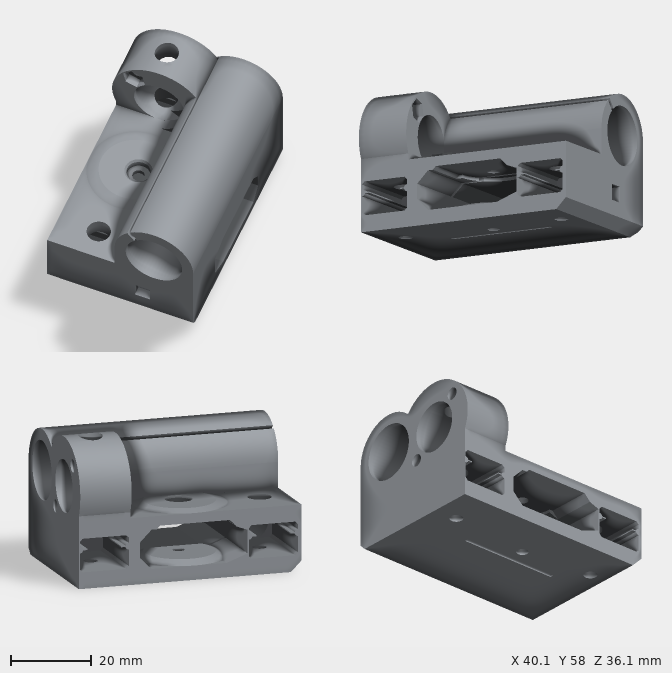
import cadquery as cq
import math

length = 58.0
block_width = 39.0
block_height = 17.0
front_chamfer = 2.75
side_chamfer = 1.5
overcut = 1.0

tube_radius = 10.5
tube_bore_diameter = 15.08
tube_left = block_width - 2 * tube_radius
tube_x = block_width - tube_radius
axis_z = 23.6
slit_angle = 130.0
slit_width = 1.0
slit_end_wall = 0.4

ring_radius = 12.52
ring_x = 11.44
ring_length = 13.4
ring_bore_diameter = 13.4
ring_front = length - ring_length
web_length = 2.5
web_front = ring_front - web_length
web_left = 13.25
web_height = 5.0

ring_screw_diameter = 3.3
ring_screw_offset = 9.42
ring_screw_angle = 135.0
nut_corner_diameter = 6.1
nut_turn = 43.0
nut_trap_depth = 2.4
nut_slot_front = 45.0
nut_slot_rear = 48.0
nut_slot_mouth = 5.6
nut_slot_mouth_width = 6.9
nut_slot_end = 11.6
nut_slot_half_taper = 12.0

pocket_length = 12.75
pocket_bottom = 4.2
pocket_height = 8.55
pocket_chamfer = 0.7
pocket_depth = 20.0
pocket_centers_y = (7.3, 51.35)
rib_radius = 0.85
rib_z = 9.93
fin_reach = 2.0
fin_thickness = 0.3
clamp_screw_x = 10.75
clamp_screw_diameter = 3.5
clamp_head_diameter = 6.0

rod_diameter = 10.0
rod_y = 6.93
rod_z = 8.5
rod_end = 30.0
peephole_size = 4.0
peephole_x = 25.4

window_front = 14.05
window_rear = web_front
window_bottom = 3.65
window_top = 13.65
window_front_slope_end = 19.5
window_front_slope_rise = 2.0
window_rear_chamfer = 3.05
gap_left = 17.0

idler_x = 12.0
idler_y = 27.75
cone_base_diameter = 24.0
cone_top_diameter = 18.0
top_cone_height = 0.63
floor_cone_height = 1.03
recess_diameter = 16.25
recess_top = 14.5
recess_flat_length = 18.2
recess_slope_drop = 1.8
pivot_x = 12.95
pivot_y = 27.7
pivot_diameter = 3.1
pivot_head_diameter = 6.0
pivot_head_depth = 2.0
pivot_chamfer = 0.5


def box(x0, x1, y0, y1, z0, z1):
    """Box between two opposite corners."""
    return cq.Workplane("XY").box(x1 - x0, y1 - y0, z1 - z0, centered=False).translate((x0, y0, z0))


def cylinder_y(x, z, diameter, y0, y1):
    """Cylinder parallel to Y."""
    solid = cq.Solid.makeCylinder(diameter / 2, y1 - y0, cq.Vector(x, y0, z), cq.Vector(0, 1, 0))
    return cq.Workplane(solid)


def cylinder_z(x, y, diameter, z0, z1):
    """Cylinder parallel to Z."""
    return cq.Workplane(cq.Solid.makeCylinder(diameter / 2, z1 - z0, cq.Vector(x, y, z0)))


def cylinder_x(y, z, diameter, x0, x1):
    """Cylinder parallel to X."""
    solid = cq.Solid.makeCylinder(diameter / 2, x1 - x0, cq.Vector(x0, y, z), cq.Vector(1, 0, 0))
    return cq.Workplane(solid)


def prism_x(points, x0, x1):
    """Prism along X from (y, z) points."""
    return cq.Workplane("YZ").workplane(offset=x0).polyline(points).close().extrude(x1 - x0)


def make_block():
    """Base block, chamfered along the bottom front and bottom right edges."""
    block = box(0, block_width, 0, length, 0, block_height)
    block = block.faces("<Z").edges("<Y").chamfer(front_chamfer)
    return block.faces("<Z").edges(">X").chamfer(side_chamfer)


def make_tube():
    """Full-length tube body, square below its axis."""
    tube = cylinder_y(tube_x, axis_z, 2 * tube_radius, 0, length)
    return tube.union(box(tube_left, block_width, 0, length, block_height, axis_z))


def make_ring_bore(front):
    """Ring bore from the given front plane out through the rear."""
    return cylinder_y(ring_x, axis_z, ring_bore_diameter, front, length + overcut)


def make_ring():
    """Ring with a skirt down to the block and a low web in front, beside the tube."""
    ring = cylinder_y(ring_x, axis_z, 2 * ring_radius, ring_front, length)
    skirt_top = axis_z - math.sqrt(ring_radius ** 2 - ring_x ** 2)
    skirt = box(0, tube_left, ring_front, length, block_height, skirt_top)
    web = box(web_left, tube_left, web_front, ring_front, block_height, block_height + web_height)
    web = web.cut(make_ring_bore(web_front))
    return ring.union(skirt).union(web)


def make_slit():
    """Radial cut in the tube wall that stops short of the rear end."""
    slit = box(0, tube_radius + overcut, -overcut, length - slit_end_wall, -slit_width / 2, slit_width / 2)
    slit = slit.rotate((0, 0, 0), (0, 1, 0), -slit_angle)
    return slit.translate((tube_x, 0, axis_z))


def make_nut_slot():
    """Slot that narrows outward from the ring bore, built along X and turned to the lower screw."""
    mouth_half = nut_slot_mouth_width / 2
    end_half = mouth_half - (nut_slot_end - nut_slot_mouth) * math.tan(math.radians(nut_slot_half_taper))
    slot = (
        cq.Workplane("XZ", origin=(0, nut_slot_front, 0))
        .polyline([
            (nut_slot_mouth, -mouth_half),
            (nut_slot_end, -end_half),
            (nut_slot_end, end_half),
            (nut_slot_mouth, mouth_half),
        ])
        .close()
        .extrude(nut_slot_front - nut_slot_rear)
    )
    slot = slot.rotate((0, 0, 0), (0, 1, 0), 180 - ring_screw_angle)
    return slot.translate((ring_x, 0, axis_z))


def make_ring_screws():
    """Upper screw with a hexagonal nut trap, lower screw with a nut slot open to the bore."""
    angle = math.radians(ring_screw_angle)
    dx = ring_screw_offset * math.cos(angle)
    dz = ring_screw_offset * math.sin(angle)
    upper = cylinder_y(ring_x + dx, axis_z + dz, ring_screw_diameter, ring_front - overcut, length + overcut)
    nut_trap = (
        cq.Workplane("XZ")
        .polygon(6, nut_corner_diameter)
        .extrude(-nut_trap_depth)
        .rotate((0, 0, 0), (0, 1, 0), -nut_turn)
        .translate((ring_x + dx, ring_front, axis_z + dz))
    )
    lower = cylinder_y(ring_x - dx, axis_z - dz, ring_screw_diameter, nut_slot_rear, length + overcut)
    return upper.union(nut_trap).union(lower).union(make_nut_slot())


def make_pocket(center_y):
    """Clamp pocket with a round rib and a thin fin on both side walls."""
    front = center_y - pocket_length / 2
    rear = center_y + pocket_length / 2
    pocket = box(0, pocket_depth, front, rear, pocket_bottom, pocket_bottom + pocket_height)
    pocket = pocket.edges("|X").chamfer(pocket_chamfer)
    fin_low = rib_z - fin_thickness / 2
    fin_high = rib_z + fin_thickness / 2
    for wall_y in (front, rear):
        pocket = pocket.cut(cylinder_x(wall_y, rib_z, 2 * rib_radius, 0, pocket_depth))
        pocket = pocket.cut(box(0, pocket_depth, wall_y - fin_reach, wall_y + fin_reach, fin_low, fin_high))
    return pocket


def make_clamp_screw(center_y):
    """Head clearance from above down into the pocket, then a screw hole through the floor."""
    pocket_middle = pocket_bottom + pocket_height / 2
    above_ring = axis_z + ring_radius + overcut
    head = cylinder_z(clamp_screw_x, center_y, clamp_head_diameter, pocket_middle, above_ring)
    shank = cylinder_z(clamp_screw_x, center_y, clamp_screw_diameter, -overcut, pocket_middle)
    return head.union(shank)


def make_rod_hole():
    """Blind round hole behind the front pocket, with a square opening from the front face."""
    rod = cylinder_x(rod_y, rod_z, rod_diameter, pocket_depth - overcut, rod_end)
    half = peephole_size / 2
    peephole = box(peephole_x - half, peephole_x + half, -overcut, rod_y, rod_z - half, rod_z + half)
    return rod.union(peephole)


def make_window():
    """Window along X, the gap beside the tube, and the idler recess in the window roof."""
    profile = [
        (window_front, window_bottom + window_front_slope_rise),
        (window_front_slope_end, window_bottom),
        (window_rear - window_rear_chamfer, window_bottom),
        (window_rear, window_bottom + window_rear_chamfer),
        (window_rear, window_top - window_rear_chamfer),
        (window_rear - window_rear_chamfer, window_top),
        (window_front_slope_end, window_top),
        (window_front, window_top - window_front_slope_rise),
    ]
    window = prism_x(profile, -overcut, block_width + overcut)
    floor_cone = make_cone(window_bottom, floor_cone_height)
    gap = box(gap_left, tube_left, window_front, window_rear, -overcut, block_height + overcut)

    half_flat = recess_flat_length / 2
    half_wide = half_flat + recess_slope_drop
    recess = prism_x(
        [
            (idler_y - half_flat, recess_top),
            (idler_y + half_flat, recess_top),
            (idler_y + half_wide, recess_top - recess_slope_drop),
            (idler_y - half_wide, recess_top - recess_slope_drop),
        ],
        -overcut,
        idler_x,
    )
    recess_round = cylinder_z(idler_x, idler_y, recess_diameter, recess_top - recess_slope_drop, recess_top)
    return window.cut(floor_cone).union(recess).union(recess_round).union(gap)


def make_cone(base_z, height):
    """Shallow truncated cone around the idler axis, trimmed at the gap."""
    cone = cq.Solid.makeCone(
        cone_base_diameter / 2, cone_top_diameter / 2, height, cq.Vector(idler_x, idler_y, base_z)
    )
    return cq.Workplane(cone).intersect(box(0, gap_left, 0, length, base_z, base_z + height))


def make_pivot():
    """Pivot screw hole with a countersunk head seat in the top cone."""
    rim = block_height + top_cone_height
    hole = cylinder_z(pivot_x, pivot_y, pivot_diameter, -overcut, rim)
    seat = cylinder_z(pivot_x, pivot_y, pivot_head_diameter, rim - pivot_head_depth, rim)
    head_radius = pivot_head_diameter / 2
    sink_bottom = cq.Vector(pivot_x, pivot_y, rim - pivot_chamfer)
    sink = cq.Solid.makeCone(head_radius, head_radius + pivot_chamfer, pivot_chamfer, sink_bottom)
    return hole.union(seat).union(cq.Workplane(sink))


body = make_block().union(make_tube()).union(make_ring())
body = body.cut(cylinder_y(tube_x, axis_z, tube_bore_diameter, -overcut, length + overcut))
body = body.cut(make_ring_bore(ring_front))
body = body.union(make_cone(block_height, top_cone_height))
body = body.cut(make_slit()).cut(make_ring_screws())
for pocket_y in pocket_centers_y:
    body = body.cut(make_pocket(pocket_y)).cut(make_clamp_screw(pocket_y))

result = body.cut(make_rod_hole()).cut(make_window()).cut(make_pivot())